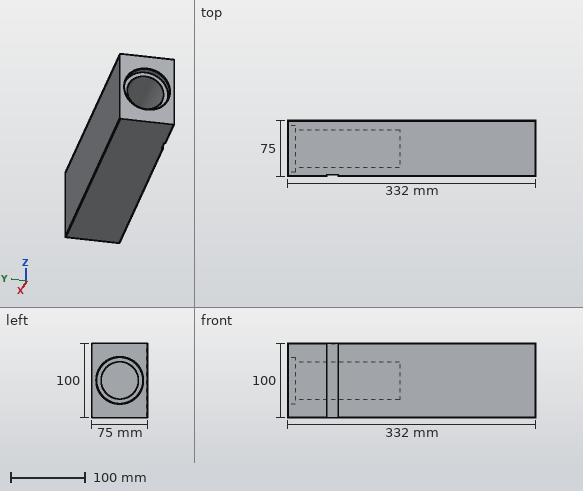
import cadquery as cq

body_length = 332.0
body_width = 75.0
body_height = 100.0
edge_chamfer = 1.0

groove_start = 52.5
groove_width = 15.0
groove_depth = 2.0

bore_diameter = 50.0
bore_depth = 150.0
counterbore_diameter = 62.0
counterbore_depth = 10.0
mouth_chamfer = 0.8


def make_body():
    """Block centred on the X axis, with its four long edges chamfered."""
    block = cq.Workplane("XY").box(body_length, body_width, body_height, centered=(False, True, True))
    return block.edges("|X").chamfer(edge_chamfer)


def make_groove():
    """Cutter for the full-height groove in the -Y face."""
    return (
        cq.Workplane("XY")
        .box(groove_width, groove_depth, body_height, centered=(False, False, True))
        .translate((groove_start, -body_width / 2, 0))
    )


def make_bore():
    """Cutter for the blind bore, its counterbore and the chamfered mouth, revolved about X."""
    bore_radius = bore_diameter / 2
    counterbore_radius = counterbore_diameter / 2
    return (
        cq.Workplane("XY")
        .moveTo(0, 0)
        .lineTo(0, counterbore_radius + mouth_chamfer)
        .lineTo(mouth_chamfer, counterbore_radius)
        .lineTo(counterbore_depth, counterbore_radius)
        .lineTo(counterbore_depth, bore_radius)
        .lineTo(bore_depth, bore_radius)
        .lineTo(bore_depth, 0)
        .close()
        .revolve(360, (0, 0, 0), (1, 0, 0))
    )


result = make_body().cut(make_groove()).cut(make_bore())